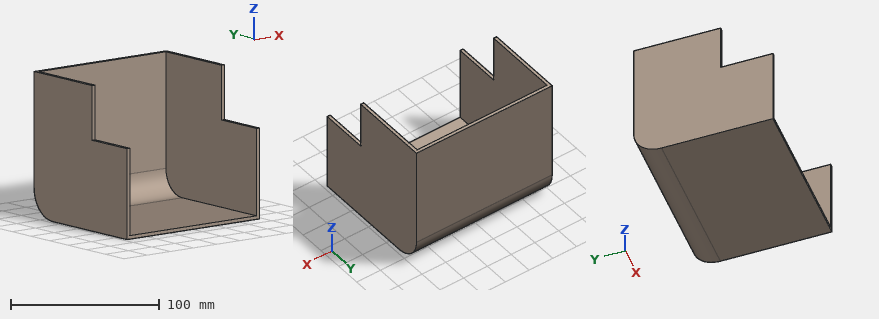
import cadquery as cq

width = 114.4
leg_length = 100.0
wall = 2.5
leg_depth = 62.5
bend_radius = 20.0

inner_width = width - 2 * wall
inner_radius = bend_radius - wall
half_length = leg_length / 2


def rounded_block(block_width, offset, radius):
    """Square block whose back and bottom faces are moved inward by offset and joined by a radius."""
    size = leg_length - offset
    return (
        cq.Workplane("XY")
        .box(block_width, size, size)
        .translate((0, -offset / 2, offset / 2))
        .edges(">Y and <Z")
        .fillet(radius)
    )


body = rounded_block(width, 0, bend_radius)

channel = rounded_block(inner_width, wall, inner_radius)

notch_size = leg_length - leg_depth
notch = (
    cq.Workplane("XY")
    .box(width, notch_size, notch_size, centered=(True, False, False))
    .translate((0, -half_length, half_length - notch_size))
)

result = body.cut(channel).cut(notch)